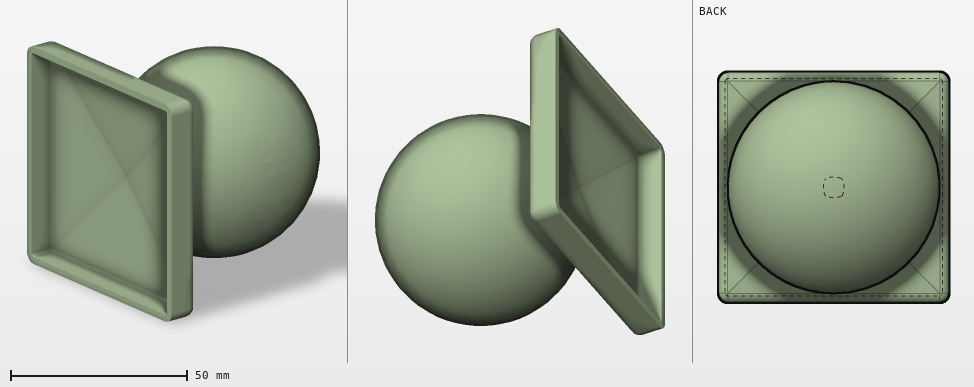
import cadquery as cq
import math

total_depth = 71.5
ball_diameter = 60.0
plate_side = 65.5

side_height = 9.15
roof_angle = 4.8
edge_radius = 3.0
wall = 2.0

slope = math.tan(math.radians(roof_angle))
cavity_side = plate_side - 2 * wall
cavity_radius = edge_radius - wall
cavity_height = side_height + wall * slope - wall / math.cos(math.radians(roof_angle))


def roofed_block(side, height, radius):
    """Square block on the XZ plane with a pyramid on its +Y face and rounded edges."""
    half = side / 2
    apex = height + half * slope
    profile = (
        cq.Workplane("XY")
        .polyline([(-half, 0), (half, 0), (half, height), (0, apex), (-half, height)])
        .close()
    )
    gable = profile.extrude(half, both=True)
    crossing_gable = gable.rotate((0, 0, 0), (0, 1, 0), 90)
    return gable.intersect(crossing_gable).edges("|X or |Y or |Z").edges("not <Y").fillet(radius)


outer_block = roofed_block(plate_side, side_height, edge_radius)
cavity = roofed_block(cavity_side, cavity_height, cavity_radius)

ball_radius = ball_diameter / 2
ball = cq.Workplane("XY").sphere(ball_radius).translate((0, total_depth - ball_radius, 0))

result = outer_block.union(ball).cut(cavity)